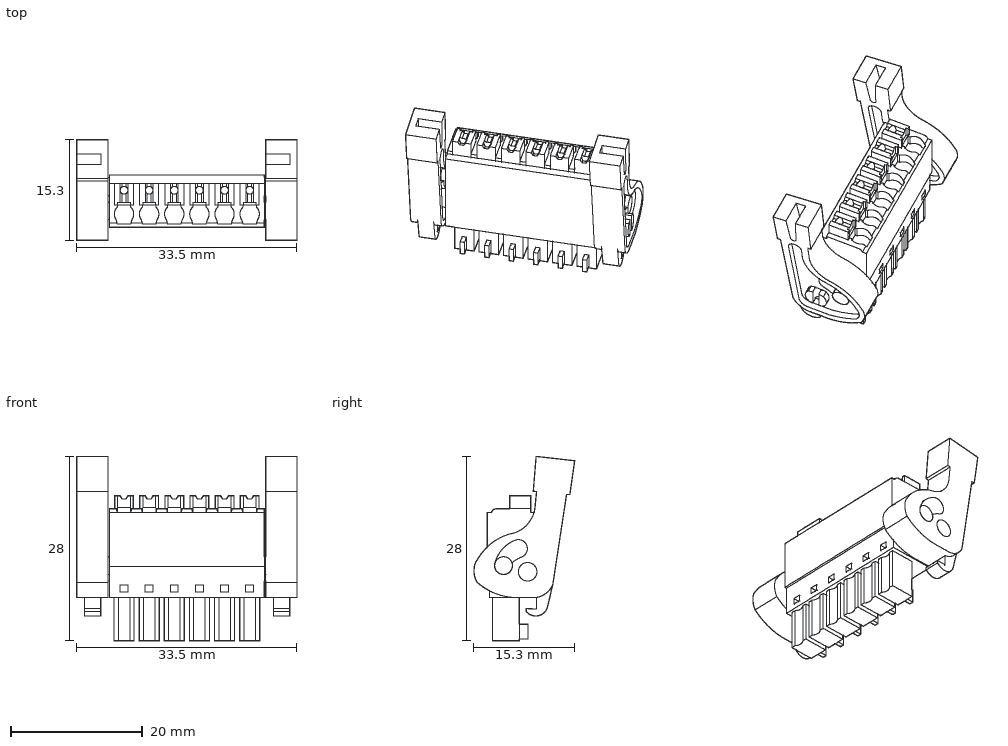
import cadquery as cq
import math

total_length = 33.45
poles = 6
pitch = 3.8
pole_x = [(i - (poles - 1) / 2) * pitch for i in range(poles)]

housing_half_length = 11.77
housing_front_y = -3.98
housing_back_y = 3.98
housing_bottom_z = 6.55
housing_top_z = 20.05
shoulder_z = 19.47
raised_back_y = 2.68
raised_edge_y = -2.58
raised_edge_radius = 0.77
step_z = 11.27
step_depth = 0.35
window_width = 1.2
window_height = 1.05
window_bottom_z = 7.43
window_depth = 0.95

entry_center_y = -1.97
entry_radius = 1.47
entry_neck_half_width = 1.0
entry_shoulder_y = -2.8
entry_front_y = -3.5
entry_floor_z = 18.23

button_width = 2.88
button_back_y = raised_back_y
button_front_y = -0.57
button_top_z = 22.0
notch_width = 1.95
notch_depth = 0.35
notch_floor_z = 20.25
groove_top_width = 1.17
groove_floor_width = 0.6
groove_depth = 0.47
probe_hole_radius = 0.585
probe_hole_y = 1.65
probe_hole_depth = 1.35

column_width = 3.08
column_back_y = 0.9
column_front_y = -3.18
flute_width = 1.75
flute_depth = 0.35
key_width = 0.67
key_back_y = 2.25
key_bottom_z = 0.25
key_top_z = 2.5

lever_width = 4.8
recess_depth = 1.0
finger_slot_depth = 3.68
hook_width = 2.5
hook_offset = 1.17

pivot_y = 2.17
pivot_z = 10.47
pivot_radius = 1.4
lip_radius = 1.77
lip_half_height = 1.47
lip_edge_half_height = 1.25
split_width = 1.0
split_depth = 1.5
guide_orbit = 3.78
guide_start_angle = 14.5
guide_end_angle = 68.0
guide_slot_radius = 1.37
guide_wall_radius = 2.55
guide_wall_angle = 45.0
guide_wall_end_radius = 2.7
guide_wall_end_angle = 32.0
guide_pin_radius = 1.35

lever_left_x = -total_length / 2
lever_right_x = total_length / 2 - lever_width


def box(x_min, x_max, y_min, y_max, z_min, z_max):
    size = (x_max - x_min, y_max - y_min, z_max - z_min)
    return cq.Workplane("XY").box(*size, centered=False).translate((x_min, y_min, z_min))


def side_plane(x):
    """Plane across the connector at x: local x is Y and local y is Z; extrudes toward +X."""
    return cq.Workplane("YZ", origin=(x, 0, 0))


def orbit_point(radius, angle):
    """(Y, Z) at an angle around the pivot, measured from -Y upward."""
    a = math.radians(angle)
    return (pivot_y - radius * math.cos(a), pivot_z + radius * math.sin(a))


def lever_blank():
    return (
        side_plane(0)
        .moveTo(9.33, 27.33)
        .lineTo(3.45, 28.0)
        .lineTo(3.0, 22.68)
        .lineTo(3.5, 22.6)
        .lineTo(3.25, 20.0)
        .threePointArc((2.15, 17.65), (0.25, 16.4))
        .threePointArc((-2.78, 15.2), (-5.45, 12.35))
        .lineTo(-5.75, 11.87)
        .threePointArc((-6.0, 10.7), (-5.52, 8.85))
        .threePointArc((-3.18, 7.35), (0.1, housing_bottom_z))
        .lineTo(3.38, housing_bottom_z)
        .threePointArc((4.95, 7.2), (6.02, 8.6))
        .lineTo(8.1, 22.18)
        .lineTo(8.6, 22.18)
        .close()
        .extrude(lever_width)
    )


def lever_recess():
    return (
        side_plane(0)
        .moveTo(6.75, 21.37)
        .threePointArc((5.65, 22.35), (4.55, 21.37))
        .lineTo(4.45, 20.05)
        .threePointArc((3.35, 17.3), (0.6, 15.55))
        .threePointArc((-2.55, 14.08), (-4.8, 11.47))
        .threePointArc((-5.1, 10.2), (-4.4, 9.03))
        .threePointArc((-2.35, 8.15), (-0.15, 7.63))
        .lineTo(3.5, 7.63)
        .threePointArc((4.48, 8.0), (4.95, 8.7))
        .close()
        .extrude(recess_depth)
    )


def finger_slot():
    return (
        side_plane(0)
        .moveTo(7.25, 28.1)
        .lineTo(6.42, 23.6)
        .threePointArc((5.95, 23.2), (5.5, 23.6))
        .lineTo(5.6, 28.1)
        .close()
        .extrude(finger_slot_depth)
    )


def hook():
    return (
        side_plane(hook_offset)
        .moveTo(6.02, 8.6)
        .lineTo(5.22, 5.2)
        .threePointArc((3.5, 3.75), (1.95, 4.45))
        .lineTo(1.95, 4.92)
        .lineTo(3.5, 4.82)
        .lineTo(3.5, 8.6)
        .close()
        .extrude(hook_width)
    )


def guide_slot():
    """Arc-shaped slot around the pivot, with round ends."""
    outer_radius = guide_orbit + guide_slot_radius
    middle_angle = (guide_start_angle + guide_end_angle) / 2
    outer_start = orbit_point(outer_radius, guide_start_angle)
    outer_middle = orbit_point(outer_radius, middle_angle)
    outer_end = orbit_point(outer_radius, guide_end_angle)
    inner_start = orbit_point(guide_wall_end_radius, guide_wall_end_angle)
    inner_middle = orbit_point(guide_wall_radius, guide_wall_angle)
    inner_end = orbit_point(guide_orbit - guide_slot_radius, guide_end_angle)
    arc = (
        side_plane(0)
        .moveTo(*orbit_point(guide_orbit, guide_start_angle))
        .lineTo(*inner_start)
        .threePointArc(inner_middle, inner_end)
        .lineTo(*outer_end)
        .threePointArc(outer_middle, outer_start)
        .close()
        .extrude(lever_width)
    )
    end_centers = [orbit_point(guide_orbit, a) for a in (guide_start_angle, guide_end_angle)]
    ends = side_plane(0).pushPoints(end_centers).circle(guide_slot_radius).extrude(lever_width)
    return arc.union(ends)


def make_lever():
    pivot_hole = side_plane(0).center(pivot_y, pivot_z).circle(pivot_radius).extrude(lever_width)
    lever = lever_blank().union(hook())
    return lever.cut(lever_recess()).cut(finger_slot()).cut(pivot_hole).cut(guide_slot())


def make_button(x):
    half = button_width / 2
    body = box(x - half, x + half, button_front_y, button_back_y, entry_floor_z, button_top_z)
    notch = box(
        x - notch_width / 2, x + notch_width / 2,
        button_front_y, button_front_y + notch_depth,
        notch_floor_z, button_top_z,
    )
    groove_floor_z = button_top_z - groove_depth
    groove = (
        cq.Workplane("XZ", origin=(x, button_back_y, 0))
        .moveTo(-groove_top_width / 2, button_top_z)
        .lineTo(-groove_floor_width / 2, groove_floor_z)
        .lineTo(groove_floor_width / 2, groove_floor_z)
        .lineTo(groove_top_width / 2, button_top_z)
        .close()
        .extrude(button_back_y - button_front_y)
    )
    probe_hole = (
        cq.Workplane("XY", origin=(x, probe_hole_y, groove_floor_z - probe_hole_depth))
        .circle(probe_hole_radius)
        .extrude(probe_hole_depth + groove_depth)
    )
    return body.cut(notch).cut(groove).cut(probe_hole)


def housing_block():
    edge_center_z = housing_top_z - raised_edge_radius
    edge_end = math.asin((shoulder_z - edge_center_z) / raised_edge_radius)
    edge_middle = (edge_end + math.pi / 2) / 2

    def edge_point(angle):
        return (
            raised_edge_y - raised_edge_radius * math.cos(angle),
            edge_center_z + raised_edge_radius * math.sin(angle),
        )

    return (
        side_plane(-housing_half_length)
        .moveTo(housing_back_y, housing_bottom_z)
        .lineTo(housing_back_y, shoulder_z)
        .lineTo(raised_back_y, shoulder_z)
        .lineTo(raised_back_y, housing_top_z)
        .lineTo(raised_edge_y, housing_top_z)
        .threePointArc(edge_point(edge_middle), edge_point(edge_end))
        .lineTo(housing_front_y, shoulder_z)
        .lineTo(housing_front_y, step_z)
        .lineTo(housing_front_y + step_depth, step_z)
        .lineTo(housing_front_y + step_depth, housing_bottom_z)
        .close()
        .extrude(2 * housing_half_length)
    )


def button_pocket(x):
    half = button_width / 2
    return box(x - half, x + half, button_front_y, button_back_y, entry_floor_z, housing_top_z)


def wire_entry(x):
    """Round well with a neck to the button face and a tapered, flat front end."""
    neck_y = entry_center_y + math.sqrt(entry_radius**2 - entry_neck_half_width**2)
    shoulder_x = math.sqrt(entry_radius**2 - (entry_shoulder_y - entry_center_y) ** 2)
    return (
        cq.Workplane("XY", origin=(x, 0, entry_floor_z))
        .moveTo(-entry_neck_half_width, button_front_y)
        .lineTo(-entry_neck_half_width, neck_y)
        .threePointArc((-entry_radius, entry_center_y), (-shoulder_x, entry_shoulder_y))
        .lineTo(-entry_neck_half_width, entry_front_y)
        .lineTo(entry_neck_half_width, entry_front_y)
        .lineTo(shoulder_x, entry_shoulder_y)
        .threePointArc((entry_radius, entry_center_y), (entry_neck_half_width, neck_y))
        .lineTo(entry_neck_half_width, button_front_y)
        .close()
        .extrude(housing_top_z - entry_floor_z)
    )


def test_window(x):
    face_y = housing_front_y + step_depth
    return box(
        x - window_width / 2, x + window_width / 2,
        face_y, face_y + window_depth,
        window_bottom_z, window_bottom_z + window_height,
    )


def plug_column(x):
    half = column_width / 2
    column = (
        cq.Workplane("XY", origin=(x, 0, 0))
        .moveTo(-half, column_back_y)
        .lineTo(-half, column_front_y)
        .lineTo(-flute_width / 2, column_front_y)
        .threePointArc((0, column_front_y + flute_depth), (flute_width / 2, column_front_y))
        .lineTo(half, column_front_y)
        .lineTo(half, column_back_y)
        .close()
        .extrude(housing_bottom_z)
    )
    key = box(x - key_width / 2, x + key_width / 2, column_back_y, key_back_y, key_bottom_z, key_top_z)
    return column.union(key)


def lever_pins(x_min, x_max):
    """Pivot shaft and guide pin."""
    length = x_max - x_min
    shaft = side_plane(x_min).center(pivot_y, pivot_z).circle(pivot_radius).extrude(length)
    guide_center = orbit_point(guide_orbit, guide_start_angle)
    guide_pin = side_plane(x_min).center(*guide_center).circle(guide_pin_radius).extrude(length)
    return shaft.union(guide_pin)


def pivot_lip():
    """Split snap head of the left pivot, lying in the lever's recess."""
    edge = math.sqrt(lip_radius**2 - lip_edge_half_height**2)
    return (
        side_plane(lever_left_x)
        .center(pivot_y, pivot_z)
        .moveTo(-edge, lip_edge_half_height)
        .threePointArc((0, lip_half_height), (edge, lip_edge_half_height))
        .threePointArc((lip_radius, 0), (edge, -lip_edge_half_height))
        .threePointArc((0, -lip_half_height), (-edge, -lip_edge_half_height))
        .threePointArc((-lip_radius, 0), (-edge, lip_edge_half_height))
        .close()
        .extrude(recess_depth)
    )


def pivot_split():
    """Upright groove across the snap head, with a half-round floor."""
    half = split_width / 2
    floor_x = lever_left_x + split_depth
    return (
        cq.Workplane("XY", origin=(0, pivot_y, pivot_z - lip_radius))
        .moveTo(lever_left_x, -half)
        .lineTo(floor_x - half, -half)
        .threePointArc((floor_x, 0), (floor_x - half, half))
        .lineTo(lever_left_x, half)
        .close()
        .extrude(2 * lip_radius)
    )


def make_housing():
    housing = housing_block()
    for x in pole_x:
        housing = housing.cut(button_pocket(x)).cut(wire_entry(x)).cut(test_window(x))
        housing = housing.union(plug_column(x))
    left_pins = lever_pins(lever_left_x + recess_depth, -housing_half_length)
    right_pins = lever_pins(housing_half_length, lever_right_x + lever_width)
    left_pins = left_pins.union(pivot_lip()).cut(pivot_split())
    return housing.union(left_pins).union(right_pins)


housing = make_housing()
lever = make_lever()
levers = [lever.translate((x, 0, 0)) for x in (lever_left_x, lever_right_x)]
buttons = [make_button(x) for x in pole_x]

result = cq.Compound.makeCompound(
    [housing.val(), *[part.val() for part in levers], *[part.val() for part in buttons]]
)